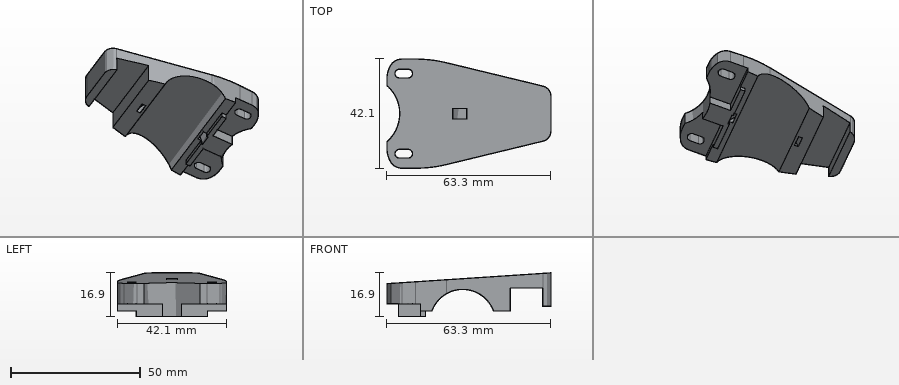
import cadquery as cq
import math

length = 63.25
half_width = 21.05
height = 16.9
front_height = 12.7

scallop_half_width = 10.8
scallop_depth = 4.95
large_corner_start = 13.4
large_corner_radius = 10.1
small_corner_radius = 8.1
shoulder_angle = math.radians(60)
small_corner_end = 5.8
flank_arc_start = 11.15
flank_arc_end = 22.9
taper_angle = math.radians(13.6)
tip_radius = 4.1

body_bottom = 2.1
step_height = 4.9
pad_start = 4.4
pad_end = 13.0
pad_width = 7.45
rib_end = 14.9
rib_half_width = 13.8

notch_start = 47.55
notch_end = 59.95
notch_top = 10.95
end_wall_bottom = 3.9

arch_x = 29.2
arch_top = 10.45
arch_radius = 12.6
arch_z = arch_top - arch_radius

strap_inner_radius = 13.6
strap_outer_radius = 15.05
strap_width = 4.1
window_depth = 5.05
window_start = 25.35
window_length = 5.4

slot_start = 3.15
slot_end = 9.85
slot_width = 3.3
slot_y = 15.45


def box(x_start, x_end, width, z_start, z_end):
    """Box centred on Y = 0."""
    return (
        cq.Workplane("XY")
        .box(x_end - x_start, width, z_end - z_start, centered=(False, True, False))
        .translate((x_start, 0, z_start))
    )


def cross_cylinder(radius, width):
    """Cylinder on the arch axis, centred on Y = 0."""
    return (
        cq.Workplane("XZ")
        .center(arch_x, arch_z)
        .circle(radius)
        .extrude(width / 2, both=True)
    )


def plan_prism():
    """Plan outline with the scallop in its wide end, at full height."""
    shoulder = (
        large_corner_radius * (1 - math.sin(shoulder_angle)),
        large_corner_start + large_corner_radius * math.cos(shoulder_angle),
    )
    flank_radius = (flank_arc_end - flank_arc_start) / math.sin(taper_angle)
    flank_y = half_width - flank_radius * (1 - math.cos(taper_angle))
    tip_x = length - tip_radius * (1 - math.sin(taper_angle))
    tip_y = flank_y - (tip_x - flank_arc_end) * math.tan(taper_angle)
    tip_arc_end = tip_y - tip_radius * math.cos(taper_angle)

    half = (
        cq.Workplane("XY")
        .lineTo(0, large_corner_start)
        .tangentArcPoint(shoulder, relative=False)
        .tangentArcPoint((small_corner_end, half_width), relative=False)
        .lineTo(flank_arc_start, half_width)
        .tangentArcPoint((flank_arc_end, flank_y), relative=False)
        .lineTo(tip_x, tip_y)
        .tangentArcPoint((length, tip_arc_end), relative=False)
        .lineTo(length, 0)
        .close()
        .extrude(height)
    )
    scallop_radius = (scallop_half_width**2 + scallop_depth**2) / (2 * scallop_depth)
    scallop = (
        cq.Workplane("XY")
        .center(scallop_depth - scallop_radius, 0)
        .circle(scallop_radius)
        .extrude(height)
    )
    return half.union(half.mirror("XZ")).cut(scallop)


def side_prism():
    """Side profile: sloping top and stepped underside."""
    return (
        cq.Workplane("XZ")
        .polyline([
            (0, step_height),
            (pad_end, step_height),
            (pad_end, body_bottom),
            (notch_start, body_bottom),
            (notch_start, notch_top),
            (notch_end, notch_top),
            (notch_end, end_wall_bottom),
            (length, end_wall_bottom),
            (length, height),
            (0, front_height),
        ])
        .close()
        .extrude(half_width, both=True)
    )


pad = box(pad_start, pad_end, pad_width, 0, step_height)
rib = box(pad_end, rib_end, 2 * rib_half_width, 0, body_bottom)
body = plan_prism().intersect(side_prism().union(pad).union(rib))

arch = cross_cylinder(arch_radius, 2 * half_width)

strap_core = cross_cylinder(strap_inner_radius, strap_width)
strap_channel = cross_cylinder(strap_outer_radius, strap_width).cut(strap_core)
top_slope = (height - front_height) / length
window = (
    box(0, window_length, strap_width, -window_depth, window_depth)
    .rotate((0, 0, 0), (0, 1, 0), -math.degrees(math.atan(top_slope)))
    .translate((window_start, 0, front_height + window_start * top_slope))
    .cut(strap_core)
)

slots = (
    cq.Workplane("XY")
    .pushPoints([((slot_start + slot_end) / 2, side * slot_y) for side in (-1, 1)])
    .slot2D(slot_end - slot_start, slot_width)
    .extrude(height)
)

result = body.cut(arch).cut(strap_channel).cut(window).cut(slots)